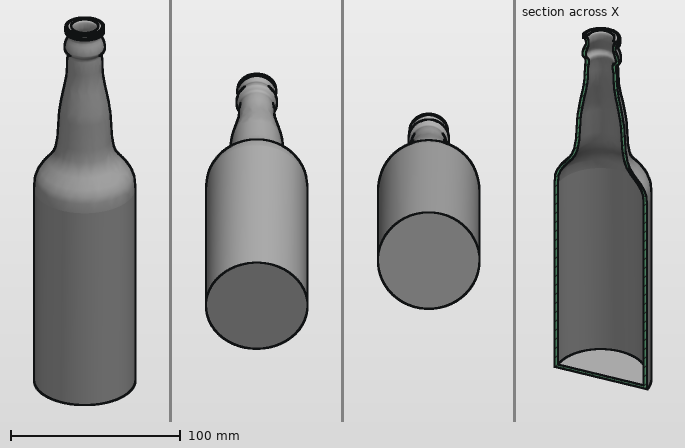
import cadquery as cq

height = 240.0
body_radius = 30.0
wall = 2.5
body_height = 130.0

neck_radius = 10.5
neck_base = 211.0
neck_top = 223.2

bead_radius = 12.0
bead_round = 0.5
bead_bottom = 224.2
bead_top = 226.6

bead_taper_radius = 10.9
bead_taper_height = 230.5

throat_radius = 9.9
throat_height = height - 4.5

lip_radius = 11.5
lip_bottom = height - 2.4
lip_round = 0.2
lip_slope_height = 0.5
lip_slope_width = 1.2
lip_edge = height - lip_slope_height

mouth_radius = 8.0
throat_bore_radius = 7.7
lip_groove_radius = lip_radius - wall
lip_groove_height = height - 1.7

taper_points = [
    (29.2, 137.3),
    (25.7, 143.8),
    (19.5, 151.8),
    (16.6, 161.0),
    (15.6, 177.0),
    (13.4, 193.0),
    (11.2, 204.5),
]

bead_points = [
    (neck_radius, neck_base),
    (neck_radius, (neck_base + neck_top) / 2),
    (neck_radius, neck_top),
    (bead_radius - bead_round, bead_bottom),
    (bead_radius, bead_bottom + 2 * bead_round),
    (bead_radius, bead_top),
    (bead_taper_radius, bead_taper_height),
]

lip_points = [
    (throat_radius, throat_height),
    (lip_radius - lip_round, lip_bottom),
    (lip_radius, lip_edge),
]

UP = (0, 1)
MOUTH_CLOSING = (-1, 1)


def revolve_about_z(profile):
    """Turn a half profile, closed along the axis, into a solid of revolution about Z."""
    return profile.close().revolve(360, (0, 0), UP)


def make_outside():
    """Solid bottle envelope; one smooth curve runs from the body to the lip."""
    profile = (
        cq.Workplane("XZ")
        .lineTo(body_radius, 0)
        .lineTo(body_radius, body_height)
        .spline(taper_points + bead_points + lip_points, tangents=[UP, UP], includeCurrent=True)
        .lineTo(lip_radius - lip_slope_width, height)
        .lineTo(0, height)
    )
    return revolve_about_z(profile)


def make_cavity():
    """Space inside the bottle, open at the mouth; the wall is measured radially."""
    inner_radius = body_radius - wall
    inner_points = [(radius - wall, z) for radius, z in taper_points + bead_points]
    inner_points += [
        (throat_bore_radius, throat_height),
        (lip_groove_radius, lip_groove_height),
        (mouth_radius, height),
    ]
    profile = (
        cq.Workplane("XZ")
        .moveTo(0, wall)
        .lineTo(inner_radius, wall)
        .lineTo(inner_radius, body_height)
        .spline(inner_points, tangents=[UP, MOUTH_CLOSING], includeCurrent=True)
        .lineTo(0, height)
    )
    return revolve_about_z(profile)


result = make_outside().cut(make_cavity())